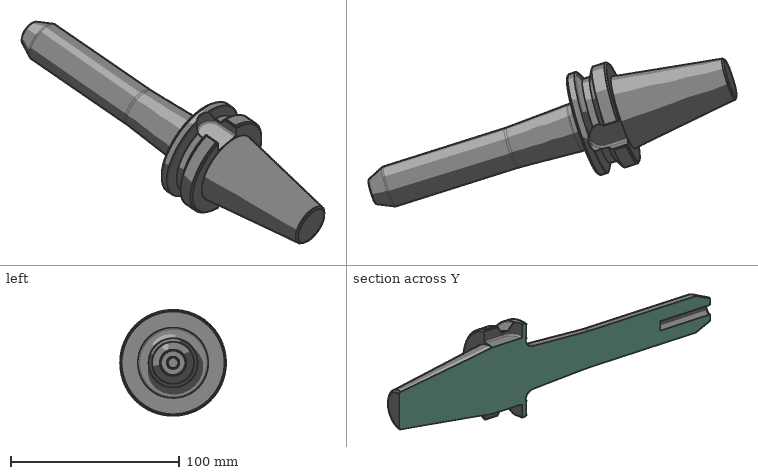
import cadquery as cq
import math

TOTAL_LENGTH = 225.5
TAPER_LENGTH = 67.5
FLANGE_LENGTH = 25.0
FLANGE_REAR_X = TOTAL_LENGTH - TAPER_LENGTH
FLANGE_FRONT_X = FLANGE_REAR_X - FLANGE_LENGTH

NOSE_RADIUS = 7.7
NOSE_LENGTH = 10.5
NOSE_TIP_CHAMFER = 0.5
NOSE_BLEND_RADIUS = 2.5
SHANK_RADIUS = 25.0 / 2
SHANK_END_X = 88.0
SHANK_BLEND_RADIUS = 27.0
NECK_RADIUS = 29.3 / 2
NECK_END_X = 127.4
NECK_LAND_LENGTH = 0.7
ROOT_START_X = NECK_END_X + NECK_LAND_LENGTH
BORE_DIAMETER = 6.0
BORE_DEPTH = 36.0
BORE_CHAMFER = 0.7

FLANGE_RADIUS = 63.0 / 2
FLANGE_CHAMFER = 1.01
RECESS_RADIUS = 21.0
RECESS_DEPTH = 0.5
RECESS_FLOOR_X = FLANGE_FRONT_X + RECESS_DEPTH
ROOT_RADIUS = RECESS_FLOOR_X - ROOT_START_X
GROOVE_RADIUS = 26.4
GROOVE_FLOOR_WIDTH = 4.5
GROOVE_CENTER_OFFSET = 10.5
GROOVE_CENTER_X = FLANGE_FRONT_X + GROOVE_CENTER_OFFSET
GROOVE_WALL_ANGLE = 30.0
GROOVE_EDGE_CHAMFER = 0.7

TAPER_BIG_RADIUS = 45.0 / 2
TAPER_RATIO = 7 / 24 / 2
TAPER_SMALL_RADIUS = TAPER_BIG_RADIUS - TAPER_LENGTH * TAPER_RATIO
TAPER_END_CHAMFER = 1.01

SLOT_WIDTH = 16.0
SLOT_FLOOR_Z = TAPER_BIG_RADIUS
SLOT_TIP_OFFSET = 3.4
SLOT_TIP_X = FLANGE_FRONT_X + SLOT_TIP_OFFSET
SLOT_FLOOR_FILLET = 1.01
SLOT_EDGE_CHAMFER = 0.7


def revolve_about_x(profile):
    return profile.close().revolve(360, (0, 0, 0), (1, 0, 0))


def make_shank():
    """Nose cone, cylinder, conical neck, short straight land and root arc into the recess floor."""
    neck_angle = math.atan2(NECK_RADIUS - SHANK_RADIUS, NECK_END_X - SHANK_END_X)
    neck_tangent = SHANK_BLEND_RADIUS * math.tan(neck_angle / 2)
    blend_end = (
        SHANK_END_X + neck_tangent * math.cos(neck_angle),
        SHANK_RADIUS + neck_tangent * math.sin(neck_angle),
    )
    nose_angle = math.atan2(SHANK_RADIUS - NOSE_RADIUS, NOSE_LENGTH)
    nose_tangent = NOSE_BLEND_RADIUS * math.tan(nose_angle / 2)
    nose_blend_start = (
        NOSE_LENGTH - nose_tangent * math.cos(nose_angle),
        SHANK_RADIUS - nose_tangent * math.sin(nose_angle),
    )
    nose_blend_end = (NOSE_LENGTH + nose_tangent, SHANK_RADIUS)
    nose_chamfer_end = (NOSE_TIP_CHAMFER, NOSE_RADIUS + NOSE_TIP_CHAMFER * math.tan(nose_angle))
    root_end = (RECESS_FLOOR_X, NECK_RADIUS + ROOT_RADIUS)
    profile = (
        cq.Workplane("XY")
        .lineTo(0, NOSE_RADIUS - NOSE_TIP_CHAMFER)
        .lineTo(*nose_chamfer_end)
        .lineTo(*nose_blend_start)
        .radiusArc(nose_blend_end, NOSE_BLEND_RADIUS)
        .lineTo(SHANK_END_X - neck_tangent, SHANK_RADIUS)
        .radiusArc(blend_end, -SHANK_BLEND_RADIUS)
        .lineTo(NECK_END_X, NECK_RADIUS)
        .lineTo(ROOT_START_X, NECK_RADIUS)
        .radiusArc(root_end, -ROOT_RADIUS)
        .lineTo(FLANGE_REAR_X, NECK_RADIUS + ROOT_RADIUS)
        .lineTo(FLANGE_REAR_X, 0)
    )
    return revolve_about_x(profile)


def make_flange():
    """Flange disc with broken edges, a V groove around the rim and a recess in its front face."""
    half_floor = GROOVE_FLOOR_WIDTH / 2
    edge_radius = FLANGE_RADIUS - GROOVE_EDGE_CHAMFER
    half_edge = half_floor + (edge_radius - GROOVE_RADIUS) * math.tan(math.radians(GROOVE_WALL_ANGLE))
    half_mouth = half_edge + GROOVE_EDGE_CHAMFER
    profile = (
        cq.Workplane("XY")
        .moveTo(RECESS_FLOOR_X, 0)
        .lineTo(RECESS_FLOOR_X, RECESS_RADIUS)
        .lineTo(FLANGE_FRONT_X, RECESS_RADIUS)
        .lineTo(FLANGE_FRONT_X, FLANGE_RADIUS - FLANGE_CHAMFER)
        .lineTo(FLANGE_FRONT_X + FLANGE_CHAMFER, FLANGE_RADIUS)
        .lineTo(GROOVE_CENTER_X - half_mouth, FLANGE_RADIUS)
        .lineTo(GROOVE_CENTER_X - half_edge, edge_radius)
        .lineTo(GROOVE_CENTER_X - half_floor, GROOVE_RADIUS)
        .lineTo(GROOVE_CENTER_X + half_floor, GROOVE_RADIUS)
        .lineTo(GROOVE_CENTER_X + half_edge, edge_radius)
        .lineTo(GROOVE_CENTER_X + half_mouth, FLANGE_RADIUS)
        .lineTo(FLANGE_REAR_X - FLANGE_CHAMFER, FLANGE_RADIUS)
        .lineTo(FLANGE_REAR_X, FLANGE_RADIUS - FLANGE_CHAMFER)
        .lineTo(FLANGE_REAR_X, 0)
    )
    return revolve_about_x(profile)


def make_taper():
    """Taper behind the flange with a chamfered small end."""
    chamfer_start_x = TOTAL_LENGTH - TAPER_END_CHAMFER
    chamfer_start_radius = TAPER_SMALL_RADIUS + TAPER_END_CHAMFER * TAPER_RATIO
    profile = (
        cq.Workplane("XY")
        .moveTo(FLANGE_REAR_X, 0)
        .lineTo(FLANGE_REAR_X, TAPER_BIG_RADIUS)
        .lineTo(chamfer_start_x, chamfer_start_radius)
        .lineTo(TOTAL_LENGTH, TAPER_SMALL_RADIUS - TAPER_END_CHAMFER)
        .lineTo(TOTAL_LENGTH, 0)
    )
    return revolve_about_x(profile)


def make_slot_cutter():
    """Round-ended cutter for the +Z drive slot, open at the rear, with a filleted floor edge."""
    half_width = SLOT_WIDTH / 2
    arc_start_x = SLOT_TIP_X + half_width
    return (
        cq.Workplane("XY", origin=(0, 0, SLOT_FLOOR_Z))
        .moveTo(TOTAL_LENGTH, -half_width)
        .lineTo(arc_start_x, -half_width)
        .threePointArc((SLOT_TIP_X, 0), (arc_start_x, half_width))
        .lineTo(TOTAL_LENGTH, half_width)
        .close()
        .extrude(FLANGE_RADIUS)
        .faces("<Z")
        .edges("not >X")
        .fillet(SLOT_FLOOR_FILLET)
    )


def make_bore():
    """Blind flat-bottomed bore in the nose with a chamfered mouth."""
    bore_radius = BORE_DIAMETER / 2
    profile = (
        cq.Workplane("XY")
        .lineTo(0, bore_radius + BORE_CHAMFER)
        .lineTo(BORE_CHAMFER, bore_radius)
        .lineTo(BORE_DEPTH, bore_radius)
        .lineTo(BORE_DEPTH, 0)
    )
    return revolve_about_x(profile)


def break_slot_edges(body):
    """Chamfer the long edges where the slot walls meet the rim behind the V groove."""
    edge_y = SLOT_WIDTH / 2
    edge_z = math.sqrt(FLANGE_RADIUS**2 - edge_y**2)
    rim_middle_x = (GROOVE_CENTER_X + FLANGE_REAR_X) / 2
    for side_y in (-edge_y, edge_y):
        for side_z in (-edge_z, edge_z):
            nearest = cq.selectors.NearestToPointSelector((rim_middle_x, side_y, side_z))
            body = body.edges("|X").edges(nearest).chamfer(SLOT_EDGE_CHAMFER)
    return body


body = make_shank().union(make_flange()).union(make_taper())
slot_cutter = make_slot_cutter()
for turn in (0, 180):
    body = body.cut(slot_cutter.rotate((0, 0, 0), (1, 0, 0), turn))
body = break_slot_edges(body)
result = body.cut(make_bore())